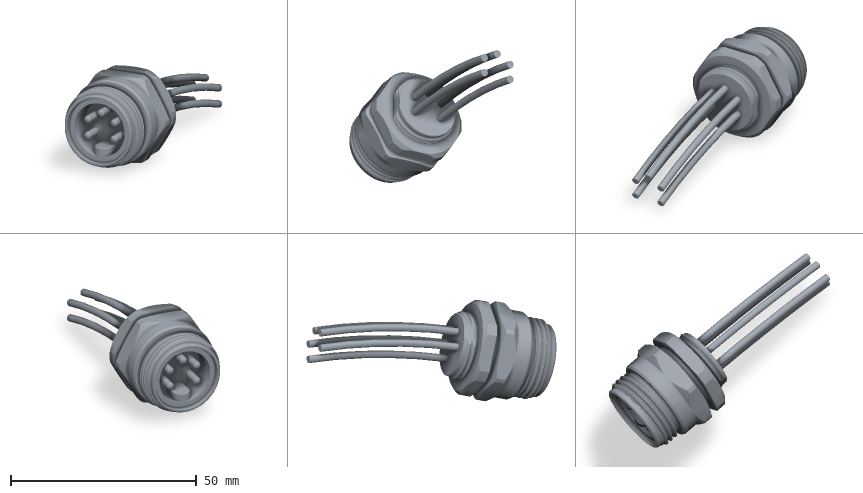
import cadquery as cq
import math


rim_end = 1.6
thread_end = 6.65
collar_front = 7.9
hex_front = 12.4
hex_rear = 17.1
nut_front = 18.9
nut_rear = 22.6
body_rear = 26.5

rim_radius = 10.0
rim_chamfer = 0.35
groove_radius = 10.2
collar_radius = 12.0
collar_chamfer_length = 0.6
collar_chamfer_depth = 0.35
rear_radius = 8.6
rear_chamfer = 0.2
rear_flat_width = 16.8

across_flats = 24.0
hex_corner_radius = 13.5
hex_front_chamfer = 1.6
hex_rear_chamfer = 0.6
nut_corner_radius = 13.0
nut_chamfer = 1.0

seal_radius = 10.0
seal_bulge = 0.3

coupling_pitch = 25.4 / 16
coupling_crest_radius = 11.03
coupling_crest_width = 0.15
coupling_half_angle = 30.0
coupling_start = 1.25
coupling_turns = 4
rear_pitch = 25.4 / 18
rear_crest_radius = 9.22
rear_crest_width = 0.15
rear_half_angle = 40.0
rear_thread_end = 25.65
rear_turns = 3
thread_overlap = 0.1

mouth_radius = 9.2
mouth_depth = 1.5
insert_radius = 8.8
insert_front = 1.25
socket_radius = 7.5
socket_floor = 8.3
key_front = 1.4
key_width = 4.8
key_top = -5.1
key_rounding = 0.2

contact_circle_radius = 4.55
contact_angles = (-30, 30, 90, 150, 210)
pin_radius = 1.0
pin_tip = 1.5
pin_dome_height = 0.55
pin_collar_radius = 1.4
pin_collar_front = 7.6
pin_base_radius = 1.68
pin_base_front = 7.9
seat_overlap = 0.2
wire_radius = 1.0
wire_bend_start = 18.0
wire_bend_radius = 154.0
overall_length = 67.17


def turned(profile):
    """Revolve a closed (radius, Y) outline about the Y axis."""
    return profile.close().revolve(360, (0, 0, 0), (0, 1, 0))


def rod(radius, start, end, x=0.0, z=0.0):
    """Cylinder along Y from start to end."""
    return cq.Workplane("XZ", origin=(x, start, z)).circle(radius).extrude(start - end)


def hexagon(start, end, envelope):
    """Hexagonal prism with corners on the X axis, trimmed by a turned envelope."""
    corner_diameter = across_flats / math.cos(math.radians(30))
    prism = cq.Workplane("XZ", origin=(0, start, 0)).polygon(6, corner_diameter).extrude(start - end)
    return prism.intersect(envelope)


def thread(start, pitch, turns, root_radius, crest_radius, crest_width, half_angle):
    """Right-handed helical ridge about Y whose crest starts at Y = start on the +X side."""
    base_radius = root_radius - thread_overlap
    half_crest = crest_width / 2
    half_base = half_crest + (crest_radius - base_radius) * math.tan(math.radians(half_angle))
    helix = cq.Wire.makeHelix(pitch, pitch * turns, base_radius)
    ridge = (
        cq.Workplane("XZ")
        .moveTo(base_radius, -half_base)
        .lineTo(crest_radius, -half_crest)
        .lineTo(crest_radius, half_crest)
        .lineTo(base_radius, half_base)
        .close()
        .sweep(cq.Workplane(helix), isFrenet=True)
    )
    return ridge.rotate((0, 0, 0), (1, 0, 0), -90).translate((0, start, 0))


def housing_core():
    """Turned housing with rim, thread cores and collar, without the hexagon."""
    rim = rod(rim_radius, 0, rim_end).faces("<Y").edges().chamfer(rim_chamfer)
    neck = rod(groove_radius, rim_end, collar_front)
    collar = turned(
        cq.Workplane("XY")
        .moveTo(0, collar_front)
        .lineTo(collar_radius - collar_chamfer_depth, collar_front)
        .lineTo(collar_radius, collar_front + collar_chamfer_length)
        .lineTo(collar_radius, hex_front)
        .lineTo(0, hex_front)
    )
    rear = rod(rear_radius, hex_rear, body_rear).faces(">Y").edges().chamfer(rear_chamfer)
    return rim.union(neck).union(collar).union(rear)


def body_hexagon():
    envelope = turned(
        cq.Workplane("XY")
        .moveTo(0, hex_front)
        .lineTo(collar_radius, hex_front)
        .lineTo(hex_corner_radius, hex_front + hex_front_chamfer)
        .lineTo(hex_corner_radius, hex_rear - hex_rear_chamfer)
        .lineTo(across_flats / 2, hex_rear)
        .lineTo(0, hex_rear)
    )
    return hexagon(hex_front, hex_rear, envelope)


def lock_nut():
    envelope = turned(
        cq.Workplane("XY")
        .moveTo(0, nut_front)
        .lineTo(nut_corner_radius, nut_front)
        .lineTo(nut_corner_radius, nut_rear - nut_chamfer)
        .lineTo(nut_corner_radius - nut_chamfer, nut_rear)
        .lineTo(0, nut_rear)
    )
    return hexagon(nut_front, nut_rear, envelope)


def seal_ring():
    edge_radius = seal_radius - seal_bulge
    return turned(
        cq.Workplane("XY")
        .moveTo(0, hex_rear)
        .lineTo(edge_radius, hex_rear)
        .threePointArc((seal_radius, (hex_rear + nut_front) / 2), (edge_radius, nut_front))
        .lineTo(0, nut_front)
    )


def coupling_thread():
    """Ridge trimmed by the run-out groove and by a 45 degree lead-in at the front."""
    lead_in = coupling_crest_radius - groove_radius
    outer = coupling_crest_radius + thread_overlap
    envelope = turned(
        cq.Workplane("XY")
        .moveTo(0, rim_end)
        .lineTo(groove_radius, rim_end)
        .lineTo(outer, rim_end + lead_in + thread_overlap)
        .lineTo(outer, thread_end)
        .lineTo(0, thread_end)
    )
    ridge = thread(
        coupling_start, coupling_pitch, coupling_turns, groove_radius,
        coupling_crest_radius, coupling_crest_width, coupling_half_angle,
    )
    return ridge.intersect(envelope)


def rear_thread():
    start = rear_thread_end - rear_turns * rear_pitch
    return thread(
        start, rear_pitch, rear_turns, rear_radius,
        rear_crest_radius, rear_crest_width, rear_half_angle,
    )


def rear_flat(side):
    """Block that cuts one flat on the rear thread; side is +1 or -1 along X."""
    depth = rear_crest_radius
    length = body_rear - nut_rear
    center = (side * (rear_flat_width + depth) / 2, nut_rear + length / 2, 0)
    return cq.Workplane("XY").box(depth, length, 2 * rear_crest_radius).translate(center)


def socket():
    """Space inside the rim: the mouth around the insert and the bore down to the socket floor."""
    mouth = rod(mouth_radius, 0, mouth_depth).cut(rod(insert_radius, insert_front, mouth_depth))
    return mouth.union(rod(socket_radius, 0, socket_floor))


def key():
    """Polarizing key on the socket wall with a round front end."""
    half_width = key_width / 2
    rear = socket_floor + seat_overlap
    bottom = -socket_radius - seat_overlap
    return (
        cq.Workplane("XY", origin=(0, 0, bottom))
        .moveTo(-half_width, rear)
        .lineTo(-half_width, key_front + half_width)
        .threePointArc((0, key_front), (half_width, key_front + half_width))
        .lineTo(half_width, rear)
        .close()
        .extrude(key_top - bottom)
        .faces(">Z").edges().fillet(key_rounding)
    )


def pin(x, z):
    """Round pin with a domed tip and a stepped base on the socket floor."""
    shoulder = pin_tip + pin_dome_height
    rear = socket_floor + seat_overlap
    dome_radius = (pin_radius**2 + pin_dome_height**2) / (2 * pin_dome_height)
    half_angle = math.asin(pin_radius / dome_radius) / 2
    dome_middle = (
        dome_radius * math.sin(half_angle),
        pin_tip + dome_radius * (1 - math.cos(half_angle)),
    )
    return turned(
        cq.Workplane("XY")
        .moveTo(0, pin_tip)
        .threePointArc(dome_middle, (pin_radius, shoulder))
        .lineTo(pin_radius, pin_collar_front)
        .lineTo(pin_collar_radius, pin_collar_front)
        .lineTo(pin_collar_radius, pin_base_front)
        .lineTo(pin_base_radius, pin_base_front)
        .lineTo(pin_base_radius, rear)
        .lineTo(0, rear)
    ).translate((x, 0, z))


def wire(x, z):
    """Wire that starts along Y inside the body and bends down on a large arc."""
    reach = overall_length - wire_bend_start
    bend = math.asin(reach / (wire_bend_radius + wire_radius))

    def bend_point(angle):
        return (
            wire_bend_start + wire_bend_radius * math.sin(angle),
            z - wire_bend_radius * (1 - math.cos(angle)),
        )

    path = (
        cq.Workplane("YZ", origin=(x, 0, 0))
        .moveTo(wire_bend_start, z)
        .threePointArc(bend_point(bend / 2), bend_point(bend))
    )
    section = cq.Workplane("XZ", origin=(x, wire_bend_start, z)).circle(wire_radius)
    return section.sweep(path)


result = housing_core().union(body_hexagon()).union(seal_ring()).cut(socket())
ridge = rear_thread()
for side in (-1, 1):
    result = result.cut(rear_flat(side))
    ridge = ridge.cut(rear_flat(side))
result = result.union(ridge).union(lock_nut()).union(coupling_thread()).union(key())

for angle in contact_angles:
    contact_x = contact_circle_radius * math.cos(math.radians(angle))
    contact_z = contact_circle_radius * math.sin(math.radians(angle))
    result = result.union(pin(contact_x, contact_z)).union(wire(contact_x, contact_z))